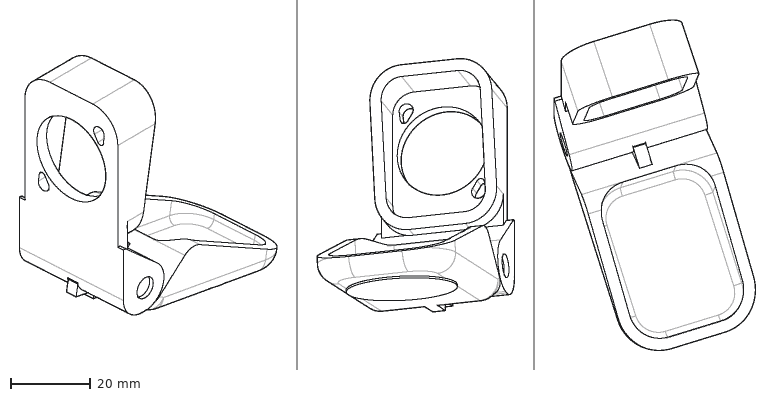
import cadquery as cq
import math

WIDTH = 36.0
WALL = 3.0
TILT = 10.0
TILT_TAN = math.tan(math.radians(TILT))

FRONT_Y = -8.1
KNUCKLE_RADIUS = 7.0
KNUCKLE_SLOPE = 40.0
KNUCKLE_TOP_Z = 15.2
SOCKET_RADIUS = 3.0
SOCKET_DEPTH = 1.25

HOUSING_WIDTH = 32.2
HOUSING_TOP_Z = 54.6
HOUSING_BOTTOM_Z = 12.6
HOUSING_TOP_DEPTH = 15.4
HOUSING_CORNER = 8.7
PLATE_DEPTH = 3.6
WINDOW_RADIUS = 11.9
WINDOW_Z = 34.75
KEYHOLE_HEAD = (9.55, 12.0)
KEYHOLE_HEAD_RADIUS = 1.8
KEYHOLE_TAIL = (10.05, 9.6)
KEYHOLE_TAIL_RADIUS = 1.0

TRAY_END = 57.15
TRAY_BOTTOM = -9.9
TRAY_CORNER = 10.95
TRAY_FLOOR = 1.8
TRAY_EDGE_RADIUS = 5.0
RIM_END_Z = -5.4
RIM_SLOPE = 18.0
REAR_SLOPE = KNUCKLE_SLOPE + TILT
SEAT_RADIUS = 7.35
CHAMFER_START = 6.8
CHAMFER_SLOPE = 23.0
CAVITY_START = 14.1
CAVITY_FILLET = 2.0
PAD_RADIUS = 14.1
PAD_CENTRE = 34.0
PAD_HEIGHT = 0.5

TONGUE_WIDTH = 3.4
TONGUE_CLEARANCE = 0.2
TONGUE_OUTLINE = [
    (11.75, TRAY_BOTTOM),
    (0.0, TRAY_BOTTOM),
    (0.0, -7.5),
    (-6.9, -7.5),
    (-6.9, -3.5),
    (6.25, 3.3),
    (11.75, 2.5),
]

OVERCUT = 14.7


def side_plane(width):
    """YZ workplane from which an extrusion of the given width is centred on X = 0."""
    return cq.Workplane("YZ", origin=(-width / 2, 0, 0))


def opened(body):
    """Turn a shape from the tray's frame into its opened position."""
    return body.rotate((0, 0, 0), (1, 0, 0), -TILT)


def front_plane(depth):
    """XZ workplane facing +Y, the given depth behind the front face; its X runs along +X."""
    plane = cq.Plane(origin=(0, FRONT_Y + depth, 0), xDir=(1, 0, 0), normal=(0, -1, 0))
    return cq.Workplane(plane)


def block(width, y_range, z_range):
    """Box centred on X = 0 between two Y and two Z values."""
    (y0, y1), (z0, z1) = y_range, z_range
    return cq.Workplane("XY").box(width, y1 - y0, z1 - z0).translate((0, (y0 + y1) / 2, (z0 + z1) / 2))


def tongue(clearance=0.0):
    """Stepped plate on the tray's mid-plane, optionally enlarged into its slot."""
    profile = side_plane(TONGUE_WIDTH).polyline(TONGUE_OUTLINE).close()
    if clearance:
        profile = profile.offset2D(clearance, "intersection")
    return opened(profile.extrude(TONGUE_WIDTH))


def knuckle():
    angle = math.radians(KNUCKLE_SLOPE)
    r = KNUCKLE_RADIUS
    tangent = (r * math.sin(angle), r * math.cos(angle))
    slope_top_y = tangent[0] - (KNUCKLE_TOP_Z - tangent[1]) / math.tan(angle)
    front_centre_y = FRONT_Y + r
    diagonal = r * math.sqrt(0.5)
    body = (
        side_plane(WIDTH)
        .moveTo(FRONT_Y, KNUCKLE_TOP_Z)
        .lineTo(FRONT_Y, 0)
        .threePointArc((front_centre_y - diagonal, -diagonal), (front_centre_y, -r))
        .lineTo(0, -r)
        .threePointArc((diagonal, -diagonal), tangent)
        .lineTo(slope_top_y, KNUCKLE_TOP_Z)
        .close()
        .extrude(WIDTH)
    )
    socket_span = WIDTH - 2 * SOCKET_DEPTH
    sockets = side_plane(WIDTH).circle(SOCKET_RADIUS).extrude(WIDTH)
    sockets = sockets.cut(side_plane(socket_span).circle(SOCKET_RADIUS).extrude(socket_span))
    return body.cut(sockets)


def keyhole(side):
    """Keyhole cutter; side is +1 or -1 for the two point-symmetric places."""
    head_x, head_z = (side * v for v in KEYHOLE_HEAD)
    tail_x, tail_z = (side * v for v in KEYHOLE_TAIL)
    dx, dz = tail_x - head_x, tail_z - head_z
    spread = math.acos((KEYHOLE_HEAD_RADIUS - KEYHOLE_TAIL_RADIUS) / math.hypot(dx, dz))
    axis = math.atan2(dz, dx)

    def rim(x, z, radius, angle):
        return (x + radius * math.cos(angle), WINDOW_Z + z + radius * math.sin(angle))

    return (
        front_plane(PLATE_DEPTH)
        .moveTo(*rim(head_x, head_z, KEYHOLE_HEAD_RADIUS, axis + spread))
        .threePointArc(
            rim(head_x, head_z, KEYHOLE_HEAD_RADIUS, axis + math.pi),
            rim(head_x, head_z, KEYHOLE_HEAD_RADIUS, axis - spread),
        )
        .lineTo(*rim(tail_x, tail_z, KEYHOLE_TAIL_RADIUS, axis - spread))
        .threePointArc(
            rim(tail_x, tail_z, KEYHOLE_TAIL_RADIUS, axis),
            rim(tail_x, tail_z, KEYHOLE_TAIL_RADIUS, axis + spread),
        )
        .close()
        .extrude(PLATE_DEPTH)
    )


def housing():
    height = HOUSING_TOP_Z - HOUSING_BOTTOM_Z
    rear_y = FRONT_Y + HOUSING_TOP_DEPTH
    shell = (
        block(HOUSING_WIDTH, (FRONT_Y, rear_y), (HOUSING_BOTTOM_Z, HOUSING_TOP_Z))
        .edges("|Y").fillet(HOUSING_CORNER)
    )
    plate_top_z = HOUSING_BOTTOM_Z + HOUSING_CORNER
    plate = block(HOUSING_WIDTH, (FRONT_Y, FRONT_Y + PLATE_DEPTH), (HOUSING_BOTTOM_Z, plate_top_z))
    cavity = (
        block(HOUSING_WIDTH - 2 * WALL, (FRONT_Y + PLATE_DEPTH, rear_y),
              (HOUSING_BOTTOM_Z + WALL, HOUSING_TOP_Z - WALL))
        .edges("|Y").fillet(HOUSING_CORNER - WALL)
    )
    rear_cut = (
        side_plane(WIDTH)
        .polyline([
            (rear_y, HOUSING_TOP_Z),
            (rear_y - height * TILT_TAN, HOUSING_BOTTOM_Z),
            (rear_y + OVERCUT, HOUSING_BOTTOM_Z),
            (rear_y + OVERCUT, HOUSING_TOP_Z),
        ])
        .close()
        .extrude(WIDTH)
    )
    window = front_plane(PLATE_DEPTH).center(0, WINDOW_Z).circle(WINDOW_RADIUS).extrude(PLATE_DEPTH)
    body = shell.union(plate).cut(cavity).cut(rear_cut).cut(window)
    for side in (1, -1):
        body = body.cut(keyhole(side))
    return body


def make_bracket():
    return knuckle().union(housing()).cut(tongue(TONGUE_CLEARANCE))


def tray_blank():
    """Round-cornered block with a chamfered hinge end and rounded bottom edges."""
    start = -SEAT_RADIUS / 2
    rise = (CHAMFER_START - start) * math.tan(math.radians(CHAMFER_SLOPE))
    blank = block(WIDTH, (start, TRAY_END), (TRAY_BOTTOM, OVERCUT))
    blank = blank.edges("|Z and >Y").fillet(TRAY_CORNER)
    chamfer = (
        side_plane(WIDTH)
        .polyline([(start, TRAY_BOTTOM), (CHAMFER_START, TRAY_BOTTOM), (start, TRAY_BOTTOM + rise)])
        .close()
        .extrude(WIDTH)
    )
    blank = blank.cut(chamfer)
    bend = cq.selectors.BoxSelector(
        (-0.7, CHAMFER_START - 0.7, TRAY_BOTTOM - 0.7), (0.7, CHAMFER_START + 0.7, TRAY_BOTTOM + 0.7))
    blank = blank.edges("|X").edges(bend).fillet(TRAY_EDGE_RADIUS)
    return blank.faces("<Z").edges("not |X or >Y").fillet(TRAY_EDGE_RADIUS)


def tray_envelope():
    """Side outline: sloping rim, rounded ridge and rear slope tangent to the seat."""
    rim_tan = math.tan(math.radians(RIM_SLOPE))
    angle = math.radians(REAR_SLOPE)
    seat_tangent = (SEAT_RADIUS * math.sin(angle), -SEAT_RADIUS * math.cos(angle))
    rim_at_axis = RIM_END_Z + TRAY_END * rim_tan
    slope_at_axis = seat_tangent[1] - seat_tangent[0] * math.tan(angle)
    ridge_y = (rim_at_axis - slope_at_axis) / (math.tan(angle) + rim_tan)
    ridge_z = rim_at_axis - ridge_y * rim_tan
    outline = (
        side_plane(WIDTH)
        .polyline([
            seat_tangent,
            (ridge_y, ridge_z),
            (TRAY_END, RIM_END_Z),
            (TRAY_END, TRAY_BOTTOM),
            (0, TRAY_BOTTOM),
            (0, seat_tangent[1]),
        ])
        .close()
        .extrude(WIDTH)
    )
    outline = outline.edges("|X and >Z").fillet(TRAY_EDGE_RADIUS)
    return outline.cut(side_plane(WIDTH).circle(SEAT_RADIUS).extrude(WIDTH))


def tray_cavity():
    cavity = block(WIDTH - 2 * WALL, (CAVITY_START, TRAY_END - WALL), (TRAY_BOTTOM + TRAY_FLOOR, OVERCUT))
    return cavity.edges("|Z").fillet(TRAY_CORNER - WALL).faces("<Z").edges().fillet(CAVITY_FILLET)


def make_tray():
    pad = (
        cq.Workplane("XY", origin=(0, PAD_CENTRE, TRAY_BOTTOM - PAD_HEIGHT))
        .circle(PAD_RADIUS).extrude(PAD_HEIGHT)
    )
    body = tray_blank().intersect(tray_envelope()).cut(tray_cavity()).union(pad)
    return opened(body).union(tongue())


bracket = make_bracket()
tray = make_tray()
result = cq.Compound.makeCompound([bracket.val(), tray.val()])